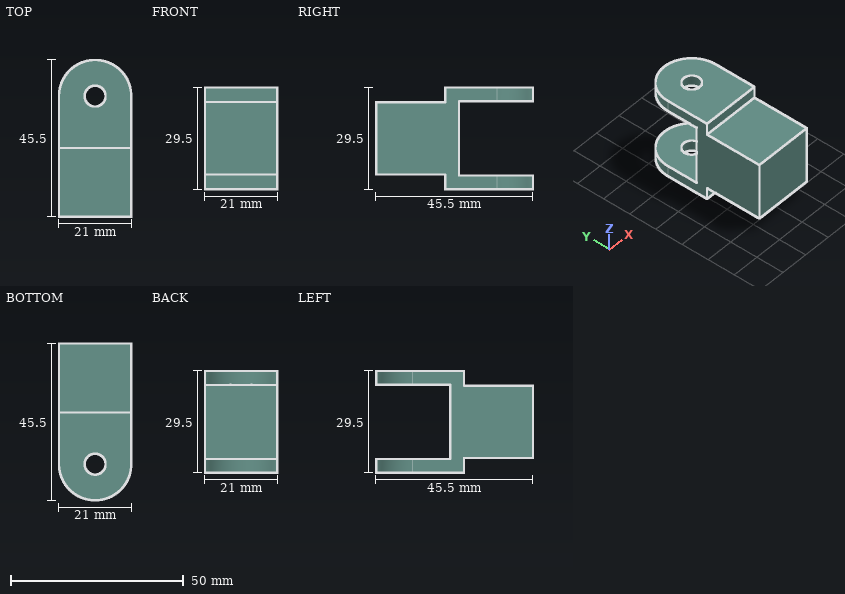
import cadquery as cq

width = 21.0
total_length = 45.5
total_height = 29.5
block_length = 20.0
block_height = width
wall = 4.0
hole_diameter = 6.0

fork_length = total_length - block_length
end_radius = width / 2
eye_y = fork_length - end_radius
arm_base_z = total_height / 2 - wall


def make_arm(base_z):
    """Flat arm with a full-round end and a pin hole concentric with it."""
    outline = (
        cq.Workplane("XY", origin=(0, 0, base_z))
        .moveTo(-width / 2, 0)
        .lineTo(width / 2, 0)
        .lineTo(width / 2, eye_y)
        .threePointArc((0, fork_length), (-width / 2, eye_y))
        .close()
    )
    pin_hole = (
        cq.Workplane("XY", origin=(0, eye_y, base_z))
        .circle(hole_diameter / 2)
        .extrude(wall)
    )
    return outline.extrude(wall).cut(pin_hole)


block = cq.Workplane("XY").box(width, block_length, block_height).translate((0, -block_length / 2, 0))

web = cq.Workplane("XY").box(width, wall, total_height).translate((0, wall / 2, 0))

result = block.union(web)
for base_z in (arm_base_z, -arm_base_z - wall):
    result = result.union(make_arm(base_z))